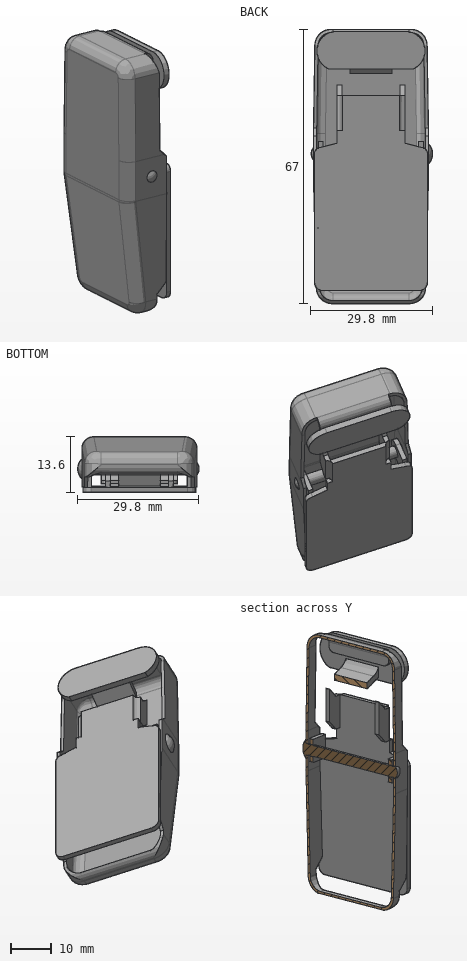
import cadquery as cq
import math


COVER_HEIGHT = 67.0
COVER_DEPTH = 13.6
COVER_WALL = 0.8
HALF_WIDTH_MIDDLE = 14.1
HALF_WIDTH_TOP = 13.65
HALF_WIDTH_BOTTOM = 13.25
KINK_Z = 31.0
SIDE_TAPER_Z = 31.15
WIDEST_Z = 41.55
TOP_DEPTH = 13.5
BOTTOM_DEPTH = 9.6
CORNER_RADIUS = 4.0
FRONT_FILLET = 2.95
KINK_FILLET = 4.7

TOP_RIM_DEPTH = 4.6
UPPER_RIM_DEPTH = 3.35
UPPER_RIM_TOP = 63.0
UPPER_RIM_BOTTOM = 42.95
REST_DEPTH_TOP = 1.4
LOWER_RIM_DEPTH = 3.75
REST_BOTTOM = 7.8
RIM_ARC_RADIUS = 3.0

TAB_HALF_WIDTH = 9.3
TAB_CURL_RADIUS = 2.55
TAB_DROP = 5.0
TAB_CORNER_RADIUS = 1.55

BASE_THICKNESS = 1.2
BASE_BOTTOM = 3.2
BASE_TOP = 50.85
BASE_HALF_WIDTH = 13.8
BASE_CORNER_RADIUS = 2.0
NECK_HALF_WIDTH = 8.3
SHOULDER_TOP = 39.2
SHOULDER_END = 38.2
SHOULDER_RADIUS = 1.6
EAR_BOTTOM = 42.35
EAR_STRAIGHT_DEPTH = 2.8
EAR_DEPTH = 5.35
EAR_BEND_RADIUS = 1.35
LUG_OUTER_X = 12.85
LUG_RADIUS = 3.0

PIN_DEPTH = 5.75
PIN_Z = 36.6
PIN_RADIUS = 1.5
HEAD_RADIUS = 2.4
HEAD_HEIGHT = 1.0
TAIL_HEIGHT = 0.55

LATCH_THICKNESS = 1.55
LATCH_HALF_WIDTH = 13.2
LATCH_TOP = 66.45
LATCH_BOTTOM = 57.3
LATCH_END_RADIUS = 4.75
ARM_WIDTH = 10.2
ARM_TOP = 60.7
ARM_ROOT_BOTTOM = 58.0
ARM_DEPTH = 6.0
ARM_FALL = 0.4
ARM_ARC_MID = (2.2, 59.7)
ARM_ARC_END = (3.5, 58.9)

CUT_MARGIN = 0.7
EDGE_SEARCH_SLACK = 0.35


def side_sketch(x):
    """Workplane at the given X whose local axes are Y and Z."""
    return cq.Workplane("YZ", origin=(x, 0, 0))


def cover_width_block(inset, corner_radius):
    """Tapered front outline of the cover, with rounded corners, run through its depth."""
    top = HALF_WIDTH_TOP - inset
    middle = HALF_WIDTH_MIDDLE - inset
    bottom = HALF_WIDTH_BOTTOM - inset
    return (
        cq.Workplane("XZ", origin=(0, CUT_MARGIN, 0))
        .polyline([
            (-top, COVER_HEIGHT - inset),
            (top, COVER_HEIGHT - inset),
            (middle, WIDEST_Z),
            (middle, SIDE_TAPER_Z),
            (bottom, inset),
            (-bottom, inset),
            (-middle, SIDE_TAPER_Z),
            (-middle, WIDEST_Z),
        ])
        .close()
        .extrude(COVER_DEPTH + 2 * CUT_MARGIN)
        .edges("|Y and (>Z or <Z)")
        .fillet(corner_radius)
    )


def round_front(body, inset):
    """Fillet the outer edge of the front face all the way around."""
    shallowest_front = BOTTOM_DEPTH - inset - EDGE_SEARCH_SLACK

    def crosses_the_kink(edge):
        centre = edge.Center()
        return abs(centre.x) < KINK_FILLET and abs(centre.z - KINK_Z) < KINK_FILLET

    front_edges = [
        edge for edge in body.edges().vals()
        if edge.BoundingBox().ymax < -shallowest_front and not crosses_the_kink(edge)
    ]
    return body.newObject(front_edges).fillet(FRONT_FILLET - inset)


def cover_block(inset):
    """Solid cover shape with a plain flat back, inset from the outside."""
    block = (
        side_sketch(-HALF_WIDTH_MIDDLE - CUT_MARGIN)
        .polyline([
            (CUT_MARGIN, inset),
            (-(BOTTOM_DEPTH - inset), inset),
            (-(COVER_DEPTH - inset), KINK_Z),
            (-(TOP_DEPTH - inset), COVER_HEIGHT - inset),
            (CUT_MARGIN, COVER_HEIGHT - inset),
        ])
        .close()
        .extrude(2 * (HALF_WIDTH_MIDDLE + CUT_MARGIN))
    )
    kink = cq.NearestToPointSelector((0, -(COVER_DEPTH - inset), KINK_Z))
    block = block.edges(kink).fillet(KINK_FILLET)
    block = block.intersect(cover_width_block(inset, CORNER_RADIUS - inset))
    return round_front(block, inset)


def rim_block():
    """Everything in front of the back rim of the cover."""
    notch = UPPER_RIM_DEPTH - REST_DEPTH_TOP
    bevel = LOWER_RIM_DEPTH - BASE_THICKNESS
    arc_centre_depth = LOWER_RIM_DEPTH + RIM_ARC_RADIUS
    arc_reach = RIM_ARC_RADIUS * math.sqrt(0.5)
    front = -COVER_DEPTH - CUT_MARGIN
    return (
        side_sketch(-HALF_WIDTH_MIDDLE - CUT_MARGIN)
        .moveTo(front, COVER_HEIGHT)
        .lineTo(-TOP_RIM_DEPTH, COVER_HEIGHT)
        .lineTo(-UPPER_RIM_DEPTH, UPPER_RIM_TOP)
        .lineTo(-UPPER_RIM_DEPTH, UPPER_RIM_BOTTOM)
        .lineTo(-REST_DEPTH_TOP, UPPER_RIM_BOTTOM - notch)
        .lineTo(-BASE_THICKNESS, REST_BOTTOM)
        .lineTo(-LOWER_RIM_DEPTH, REST_BOTTOM - bevel)
        .lineTo(-LOWER_RIM_DEPTH, RIM_ARC_RADIUS)
        .threePointArc(
            (-arc_centre_depth + arc_reach, RIM_ARC_RADIUS - arc_reach),
            (-arc_centre_depth, 0),
        )
        .lineTo(front, 0)
        .close()
        .extrude(2 * (HALF_WIDTH_MIDDLE + CUT_MARGIN))
    )


def curled_tab():
    """Tab that curls back and down from the top wall, with rounded lower corners."""
    outer = TAB_CURL_RADIUS
    inner = outer - COVER_WALL
    centre_depth = TOP_RIM_DEPTH
    centre_z = COVER_HEIGHT - outer
    tab_bottom = COVER_HEIGHT - TAB_DROP
    diagonal = math.sqrt(0.5)
    tab = (
        side_sketch(-TAB_HALF_WIDTH)
        .moveTo(-centre_depth - COVER_WALL, COVER_HEIGHT)
        .lineTo(-centre_depth, COVER_HEIGHT)
        .threePointArc(
            (-centre_depth + outer * diagonal, centre_z + outer * diagonal),
            (-centre_depth + outer, centre_z),
        )
        .lineTo(-centre_depth + outer, tab_bottom)
        .lineTo(-centre_depth + inner, tab_bottom)
        .lineTo(-centre_depth + inner, centre_z)
        .threePointArc(
            (-centre_depth + inner * diagonal, centre_z + inner * diagonal),
            (-centre_depth, COVER_HEIGHT - COVER_WALL),
        )
        .lineTo(-centre_depth - COVER_WALL, COVER_HEIGHT - COVER_WALL)
        .close()
        .extrude(2 * TAB_HALF_WIDTH)
    )
    return tab.edges("|Y and <Z").fillet(TAB_CORNER_RADIUS)


def pin_bore():
    """Cylinder along the pin axis, as long as the cover is wide."""
    return (
        side_sketch(-HALF_WIDTH_MIDDLE)
        .center(-PIN_DEPTH, PIN_Z)
        .circle(PIN_RADIUS)
        .extrude(2 * HALF_WIDTH_MIDDLE)
    )


def make_cover():
    """Shell with its curled tab and the bore for the pin."""
    outside = cover_block(0).intersect(rim_block())
    hollow = cover_block(COVER_WALL)
    return outside.cut(hollow).union(curled_tab()).cut(pin_bore())


def shouldered_plate():
    """Flat base plate: wide below, stepping in over rounded shoulders to a narrow neck."""
    arc_x = BASE_HALF_WIDTH - SHOULDER_RADIUS
    arc_reach = SHOULDER_RADIUS * math.sqrt(0.5)
    arc_bottom = SHOULDER_END - SHOULDER_RADIUS
    half = (
        cq.Workplane("XZ")
        .moveTo(0, BASE_BOTTOM)
        .lineTo(BASE_HALF_WIDTH, BASE_BOTTOM)
        .lineTo(BASE_HALF_WIDTH, arc_bottom)
        .threePointArc((arc_x + arc_reach, arc_bottom + arc_reach), (arc_x, SHOULDER_END))
        .lineTo(NECK_HALF_WIDTH, SHOULDER_TOP)
        .lineTo(NECK_HALF_WIDTH, BASE_TOP)
        .lineTo(0, BASE_TOP)
        .close()
        .extrude(BASE_THICKNESS)
    )
    plate = half.union(half.mirror("YZ"))
    return plate.edges("|Y and <Z").fillet(BASE_CORNER_RADIUS)


def ear(outer_x):
    """Neck ear that leaves the plate square and then rises at 45 degrees."""
    rise = EAR_DEPTH - EAR_STRAIGHT_DEPTH
    return (
        side_sketch(outer_x)
        .polyline([
            (0, EAR_BOTTOM),
            (-EAR_STRAIGHT_DEPTH, EAR_BOTTOM),
            (-EAR_DEPTH, EAR_BOTTOM + rise),
            (-EAR_DEPTH, BASE_TOP + rise),
            (-EAR_STRAIGHT_DEPTH, BASE_TOP),
            (0, BASE_TOP),
        ])
        .close()
        .extrude(-math.copysign(BASE_THICKNESS, outer_x))
    )


def pin_lug(outer_x):
    """Upright lug with a rounded end around the pin."""
    inward = -math.copysign(BASE_THICKNESS, outer_x)
    return (
        side_sketch(outer_x)
        .moveTo(-BASE_THICKNESS, PIN_Z - LUG_RADIUS)
        .lineTo(-PIN_DEPTH, PIN_Z - LUG_RADIUS)
        .threePointArc((-PIN_DEPTH - LUG_RADIUS, PIN_Z), (-PIN_DEPTH, PIN_Z + LUG_RADIUS))
        .lineTo(-BASE_THICKNESS, PIN_Z + LUG_RADIUS)
        .close()
        .extrude(inward)
    )


def make_base():
    """Plate, ears with rounded back bends, and pin lugs, as one bent sheet."""
    base = shouldered_plate()
    for side in (-1, 1):
        bend = (
            cq.Workplane("XY", origin=(0, 0, EAR_BOTTOM))
            .moveTo(side * NECK_HALF_WIDTH, 0)
            .lineTo(side * NECK_HALF_WIDTH, -EAR_BEND_RADIUS)
            .radiusArc((side * (NECK_HALF_WIDTH - EAR_BEND_RADIUS), 0), side * EAR_BEND_RADIUS)
            .close()
            .extrude(BASE_TOP - EAR_BOTTOM)
        )
        base = base.union(ear(side * NECK_HALF_WIDTH)).cut(bend)
        base = base.union(pin_lug(side * LUG_OUTER_X))
    return base.cut(pin_bore())


def cap_middle(radius, height):
    """Radius and height of the point halfway along a spherical cap's arc."""
    sphere_radius = (radius ** 2 + height ** 2) / (2 * height)
    half_angle = math.asin(radius / sphere_radius) / 2
    return (
        sphere_radius * math.sin(half_angle),
        height - sphere_radius * (1 - math.cos(half_angle)),
    )


def make_pin():
    """Shaft with a wide domed head at -X and a small domed tail at +X."""
    end = HALF_WIDTH_MIDDLE
    head_mid_radius, head_mid_height = cap_middle(HEAD_RADIUS, HEAD_HEIGHT)
    tail_mid_radius, tail_mid_height = cap_middle(PIN_RADIUS, TAIL_HEIGHT)
    return (
        cq.Workplane("XY")
        .moveTo(-end - HEAD_HEIGHT, 0)
        .threePointArc((-end - head_mid_height, head_mid_radius), (-end, HEAD_RADIUS))
        .lineTo(-end, PIN_RADIUS)
        .lineTo(end, PIN_RADIUS)
        .threePointArc((end + tail_mid_height, tail_mid_radius), (end + TAIL_HEIGHT, 0))
        .close()
        .revolve(360, (0, 0, 0), (1, 0, 0))
        .translate((0, -PIN_DEPTH, PIN_Z))
    )


def make_latch():
    """Plate with rounded ends on an arm that reaches into the cover."""
    end_x = LATCH_HALF_WIDTH - LATCH_END_RADIUS
    centre_z = LATCH_TOP - LATCH_END_RADIUS
    chord = math.sqrt(LATCH_END_RADIUS ** 2 - (centre_z - LATCH_BOTTOM) ** 2)
    plate = (
        cq.Workplane("XZ")
        .moveTo(-end_x, LATCH_TOP)
        .lineTo(end_x, LATCH_TOP)
        .threePointArc((LATCH_HALF_WIDTH, centre_z), (end_x + chord, LATCH_BOTTOM))
        .lineTo(-end_x - chord, LATCH_BOTTOM)
        .threePointArc((-LATCH_HALF_WIDTH, centre_z), (-end_x, LATCH_TOP))
        .close()
        .extrude(LATCH_THICKNESS)
    )
    arc_end_depth, arc_end_z = ARM_ARC_END
    tip_bottom = ARM_ROOT_BOTTOM - ARM_FALL * (ARM_DEPTH - LATCH_THICKNESS)
    tip_top = arc_end_z - ARM_FALL * (ARM_DEPTH - arc_end_depth)
    arm = (
        side_sketch(-ARM_WIDTH / 2)
        .moveTo(-LATCH_THICKNESS, ARM_ROOT_BOTTOM)
        .lineTo(-ARM_DEPTH, tip_bottom)
        .lineTo(-ARM_DEPTH, tip_top)
        .lineTo(-arc_end_depth, arc_end_z)
        .threePointArc((-ARM_ARC_MID[0], ARM_ARC_MID[1]), (-LATCH_THICKNESS, ARM_TOP))
        .close()
        .extrude(ARM_WIDTH)
    )
    return plate.union(arm)


cover = make_cover()
base = make_base()
pin = make_pin()
latch = make_latch()

result = cq.Compound.makeCompound([cover.val(), base.val(), pin.val(), latch.val()])